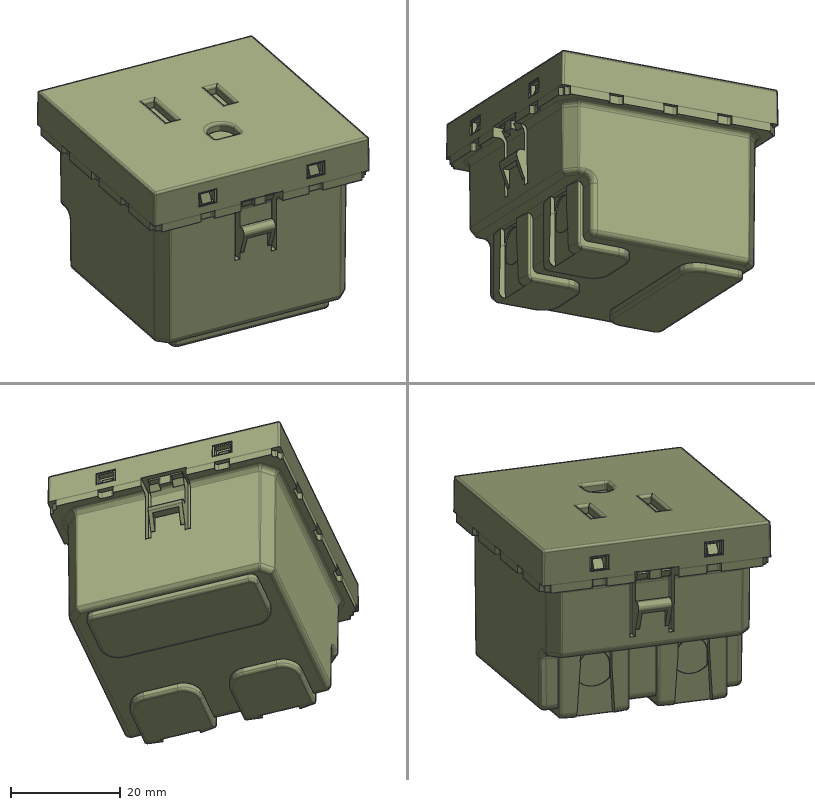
import cadquery as cq

COVER_WIDTH = 45.06
COVER_DRAFT = 0.7
COVER_DEPTH = 6.86
COVER_CORNER = 0.4
COVER_EDGE = 0.45

FLANGE_DEPTH = 8.44
NOTCH_PITCH = 11.27
NOTCH_WIDTH = 2.9
NOTCH_INSET = 0.8
NOTCH_RADIUS = 0.5
CORNER_NOTCH = 1.65
FLARE_RADIUS = 1.1

BODY_WIDTH = 40.3
BODY_DRAFT = 0.5
BODY_DEPTH = 34.1
BODY_CHAMFER = 2.3
BODY_CHAMFER_BLEND = 0.5
BODY_EDGE = 1.1
STEP_X = -15.0
STEP_DEPTH = 22.5
STEP_RADIUS = 1.4

TOTAL_DEPTH = 35.75
BLOCK_ROOT_DEPTH = STEP_DEPTH - BODY_EDGE
BLOCK_INNER_Y = 2.75
BLOCK_OUTER_Y = 16.5
BLOCK_FRONT_X = -16.45
BLOCK_FLANK_RELIEF = 0.55
BLOCK_END_X = -3.9
BLOCK_EDGE = 0.45
FOOT_END_RADIUS = 3.6
FOOT_START_X = 7.0
FOOT_END_X = 18.8
FOOT_OUTER_RADIUS = 1.4
FOOT_EDGE = 0.6
BLOCK_FRONT_EDGE = 1.1

GUIDE_TOP_HALF = 3.1
GUIDE_BOTTOM_HALF = 3.77
GUIDE_BEND_DEPTH = 25.8
GUIDE_FLOOR_TOP_X = -15.65
GUIDE_FLOOR_BOTTOM_X = -15.05
DIMPLE_TOP_DEPTH = 23.2
DIMPLE_SIDE_DEPTH = 28.9
DIMPLE_BOTTOM_DEPTH = 30.2
DIMPLE_FLOOR_X = -15.25

LATCH_HALF = 3.3
SLIT_WIDTH = 1.05
SLIT_CUT = 1.8
SLIT_TOP_DEPTH = 6.45
SLIT_BOTTOM_DEPTH = 19.85
BARB_CORNER_X = 22.25
BARB_TOP_DEPTH = 13.0
BARB_BOTTOM_DEPTH = 18.5
BARB_NOSE_RADIUS = 1.1
BARB_NOSE_DEPTH = 15.05
GUSSET_WIDTH = 0.8
HOLLOW_OVERCUT = 0.2
TOOTH_HALF = 1.2
RELIEF_INNER_X = 20.4
RELIEF_LIP_X = 21.2
RELIEF_LIP_DEPTH = 7.4
RELIEF_BOTTOM_X = 20.5
RELIEF_BOTTOM_DEPTH = 8.75

WINDOW_Y = 11.27
WINDOW_WIDTH = 3.76
WINDOW_HEIGHT = 2.8
WINDOW_CENTRE_DEPTH = 3.84
WINDOW_CUT = 1.3
WINDOW_LEDGE = 0.35
WINDOW_LEDGE_CUT = 0.3
HOOK_WIDTH = 2.0
HOOK_TOP_DEPTH = 3.3

BLADE_X = -5.0
BLADE_Y = 6.29
BLADE_WIDTH = 3.34
SHORT_BLADE_LENGTH = 8.3
LONG_BLADE_LENGTH = 9.85
EARTH_X = 6.85
EARTH_RADIUS = 3.2
EARTH_FLAT_X = 10.0
EARTH_CORNER = 0.4
OPENING_ROUNDING = 0.6
OPENING_CUT = 1.7

CLEARANCE = 1.0

HALF_COVER = COVER_WIDTH / 2
HALF_BODY = BODY_WIDTH / 2
BLOCK_CENTRE_Y = (BLOCK_INNER_Y + BLOCK_OUTER_Y) / 2


def box(x0, x1, y0, y1, depth0, depth1):
    """Axis-aligned block between two X, two Y and two depth values."""
    size = (x1 - x0, y1 - y0, depth1 - depth0)
    return cq.Workplane("XY").box(*size, centered=False).translate((x0, y0, -depth1))


def on_both_sides(shape):
    """The shape together with its copy on the opposite X side."""
    return shape.union(shape.mirror("YZ"))


def make_cover():
    """Drafted square cover with rounded corners and a rounded front edge."""
    cover = (
        cq.Workplane("XY", origin=(0, 0, -COVER_DEPTH))
        .rect(COVER_WIDTH, COVER_WIDTH)
        .extrude(COVER_DEPTH, taper=COVER_DRAFT)
    )
    cover = cover.edges("not(#Z or |X or |Y)").fillet(COVER_CORNER)
    return cover.faces(">Z").edges().fillet(COVER_EDGE)


def make_body():
    """Drafted housing with chamfered corners, stepped in at its -X lower end."""
    outline = (
        cq.Sketch()
        .rect(BODY_WIDTH, BODY_WIDTH)
        .vertices()
        .chamfer(BODY_CHAMFER)
        .reset()
        .vertices()
        .fillet(BODY_CHAMFER_BLEND)
    )
    body = (
        cq.Workplane("XY", origin=(0, 0, -FLANGE_DEPTH))
        .placeSketch(outline)
        .extrude(FLANGE_DEPTH - BODY_DEPTH, taper=BODY_DRAFT)
    )
    step = box(-BODY_WIDTH, STEP_X, -BODY_WIDTH, BODY_WIDTH, STEP_DEPTH, TOTAL_DEPTH)
    step = step.edges("|Y and >X and >Z").fillet(STEP_RADIUS)
    body = body.cut(step)
    below_step = cq.selectors.BoxSelector(
        (-BODY_WIDTH, -BODY_WIDTH, -BODY_DEPTH + BODY_EDGE),
        (BODY_WIDTH, BODY_WIDTH, -STEP_DEPTH + BODY_EDGE / 2),
    )
    body = body.edges(below_step).edges("not |Y").edges("<X or <Y or >Y").fillet(BODY_EDGE)
    return body.faces("<Z").edges().fillet(BODY_EDGE)


def make_flange():
    """Square ring with three notches per side and an L-shaped notch at each corner."""
    ring = box(-HALF_COVER, HALF_COVER, -HALF_COVER, HALF_COVER, COVER_DEPTH, FLANGE_DEPTH)
    notch = box(
        HALF_COVER - NOTCH_INSET, HALF_COVER + NOTCH_INSET,
        -NOTCH_WIDTH / 2, NOTCH_WIDTH / 2, COVER_DEPTH, FLANGE_DEPTH,
    ).edges("|Z and <X").fillet(NOTCH_RADIUS)
    corner_start = HALF_COVER - CORNER_NOTCH
    corner_leg = box(
        corner_start, HALF_COVER, HALF_COVER - NOTCH_INSET, HALF_COVER, COVER_DEPTH, FLANGE_DEPTH
    ).edges("|Z and <X and <Y").fillet(NOTCH_RADIUS)
    corner = corner_leg.union(corner_leg.mirror("XZ").rotate((0, 0, 0), (0, 0, 1), 90))
    for quarter in range(4):
        turn = 90 * quarter
        for offset in (-NOTCH_PITCH, 0, NOTCH_PITCH):
            placed = notch.translate((0, offset, 0)).rotate((0, 0, 0), (0, 0, 1), turn)
            ring = ring.cut(placed)
        ring = ring.cut(corner.rotate((0, 0, 0), (0, 0, 1), turn))
    return ring


def make_terminal_block():
    """Block with a prow-shaped front and a wire guide; its foot runs under the body."""
    flank_x = BLOCK_FRONT_X + BLOCK_FLANK_RELIEF
    prow = (
        cq.Workplane("XY", origin=(0, 0, -TOTAL_DEPTH))
        .moveTo(flank_x, BLOCK_INNER_Y)
        .lineTo(BLOCK_FRONT_X, BLOCK_CENTRE_Y - GUIDE_TOP_HALF)
        .lineTo(BLOCK_FRONT_X, BLOCK_CENTRE_Y + GUIDE_TOP_HALF)
        .lineTo(flank_x, BLOCK_OUTER_Y)
        .lineTo(BLOCK_END_X, BLOCK_OUTER_Y)
        .lineTo(BLOCK_END_X, BLOCK_INNER_Y)
        .close()
        .extrude(TOTAL_DEPTH - BLOCK_ROOT_DEPTH)
    )
    front_bottom = cq.selectors.BoxSelector(
        (BLOCK_FRONT_X - CLEARANCE, BLOCK_INNER_Y, -TOTAL_DEPTH - CLEARANCE),
        (flank_x + BLOCK_EDGE, BLOCK_OUTER_Y, -TOTAL_DEPTH + CLEARANCE),
    )
    prow = prow.edges(front_bottom).fillet(BLOCK_FRONT_EDGE)
    for side in ("<Y", ">Y"):
        prow = prow.faces(side).edges("<X").fillet(BLOCK_EDGE)

    foot = box(
        2 * BLOCK_FRONT_X, BLOCK_END_X, BLOCK_INNER_Y, BLOCK_OUTER_Y, BLOCK_ROOT_DEPTH, TOTAL_DEPTH
    )
    foot = foot.edges("|Z and >X").fillet(FOOT_END_RADIUS)
    foot = foot.faces("<Z").edges().fillet(FOOT_EDGE)
    block = prow.intersect(foot)

    guide = (
        cq.Workplane("YZ", origin=(BLOCK_FRONT_X - CLEARANCE, BLOCK_CENTRE_Y, 0))
        .moveTo(-GUIDE_TOP_HALF, -STEP_DEPTH)
        .lineTo(GUIDE_TOP_HALF, -STEP_DEPTH)
        .lineTo(GUIDE_TOP_HALF, -GUIDE_BEND_DEPTH)
        .lineTo(GUIDE_BOTTOM_HALF, -TOTAL_DEPTH)
        .lineTo(-GUIDE_BOTTOM_HALF, -TOTAL_DEPTH)
        .lineTo(-GUIDE_TOP_HALF, -GUIDE_BEND_DEPTH)
        .close()
        .extrude(GUIDE_FLOOR_BOTTOM_X - BLOCK_FRONT_X + CLEARANCE)
    )
    sloped_floor = (
        cq.Workplane("XZ", origin=(0, BLOCK_OUTER_Y, 0))
        .moveTo(GUIDE_FLOOR_TOP_X, -STEP_DEPTH)
        .lineTo(GUIDE_FLOOR_BOTTOM_X, -STEP_DEPTH)
        .lineTo(GUIDE_FLOOR_BOTTOM_X, -TOTAL_DEPTH)
        .close()
        .extrude(BLOCK_OUTER_Y - BLOCK_INNER_Y)
    )
    guide = guide.cut(sloped_floor)
    arch_depth = DIMPLE_TOP_DEPTH + GUIDE_TOP_HALF
    dimple = (
        cq.Workplane("YZ", origin=(GUIDE_FLOOR_TOP_X, BLOCK_CENTRE_Y, 0))
        .moveTo(-GUIDE_TOP_HALF, -arch_depth)
        .threePointArc((0, -DIMPLE_TOP_DEPTH), (GUIDE_TOP_HALF, -arch_depth))
        .lineTo(GUIDE_TOP_HALF, -DIMPLE_SIDE_DEPTH)
        .threePointArc((0, -DIMPLE_BOTTOM_DEPTH), (-GUIDE_TOP_HALF, -DIMPLE_SIDE_DEPTH))
        .close()
        .extrude(DIMPLE_FLOOR_X - GUIDE_FLOOR_TOP_X)
    )
    return block.cut(guide).cut(dimple)


def make_rear_foot():
    """Wide foot under the +X half of the housing."""
    foot = box(
        FOOT_START_X, FOOT_END_X, -BLOCK_OUTER_Y, BLOCK_OUTER_Y, BODY_DEPTH - BODY_EDGE, TOTAL_DEPTH
    )
    foot = foot.edges("|Z and <X").fillet(FOOT_END_RADIUS)
    foot = foot.edges("|Z and >X").fillet(FOOT_OUTER_RADIUS)
    return foot.faces("<Z").edges().fillet(FOOT_EDGE)


def join_with_flare(flange, body):
    """Join the housing to the flange with a concave blend around the housing's top."""
    reach = HALF_BODY + BODY_CHAMFER_BLEND
    margin = BODY_CHAMFER_BLEND
    top_outline = cq.selectors.BoxSelector(
        (-reach, -reach, -FLANGE_DEPTH - margin), (reach, reach, -FLANGE_DEPTH + margin)
    )
    joined = flange.union(body)
    return joined.edges(top_outline).edges("#Z").fillet(FLARE_RADIUS)


def make_barb():
    """Ramp on the +X latch tongue, hollow between two end gussets below its nose."""
    root_x = HALF_BODY - SLIT_CUT
    barb = (
        cq.Workplane("XZ", origin=(0, LATCH_HALF, 0))
        .moveTo(root_x, -BARB_TOP_DEPTH)
        .lineTo(BARB_CORNER_X, -BARB_TOP_DEPTH)
        .lineTo(HALF_BODY, -BARB_BOTTOM_DEPTH)
        .lineTo(root_x, -BARB_BOTTOM_DEPTH)
        .close()
        .extrude(2 * LATCH_HALF)
    )
    barb = barb.edges("|Y and >X").fillet(BARB_NOSE_RADIUS)
    gusset_inner = LATCH_HALF - GUSSET_WIDTH
    hollow = box(
        HALF_BODY - HOLLOW_OVERCUT, BARB_CORNER_X, -gusset_inner, gusset_inner,
        BARB_NOSE_DEPTH, BARB_BOTTOM_DEPTH,
    )
    return barb.cut(hollow)


def make_latch_cuts():
    """Slits beside the +X latch tongue and the flange relief above it."""
    outside_x = HALF_COVER + CLEARANCE
    cuts = cq.Workplane("XY")
    for y in (-LATCH_HALF - SLIT_WIDTH, LATCH_HALF):
        cuts = cuts.union(box(
            HALF_BODY - SLIT_CUT, outside_x, y, y + SLIT_WIDTH, SLIT_TOP_DEPTH, SLIT_BOTTOM_DEPTH
        ))
    cuts = cuts.union(box(
        HALF_COVER - NOTCH_INSET, outside_x, -LATCH_HALF, LATCH_HALF, SLIT_TOP_DEPTH, COVER_DEPTH
    ))
    relief_width = LATCH_HALF - TOOTH_HALF
    for y in (LATCH_HALF, -TOOTH_HALF):
        relief = (
            cq.Workplane("XZ", origin=(0, y, 0))
            .moveTo(outside_x, -COVER_DEPTH)
            .lineTo(RELIEF_INNER_X, -COVER_DEPTH)
            .lineTo(RELIEF_LIP_X, -RELIEF_LIP_DEPTH)
            .lineTo(RELIEF_BOTTOM_X, -RELIEF_BOTTOM_DEPTH)
            .lineTo(outside_x, -RELIEF_BOTTOM_DEPTH)
            .close()
            .extrude(relief_width)
        )
        cuts = cuts.union(relief)
    return cuts


def make_window(y):
    """Stepped pocket in the +X cover side, with a sloping snap hook left inside it."""
    top = WINDOW_CENTRE_DEPTH - WINDOW_HEIGHT / 2
    bottom = WINDOW_CENTRE_DEPTH + WINDOW_HEIGHT / 2
    half = WINDOW_WIDTH / 2
    floor_x = HALF_COVER - WINDOW_CUT
    hook_x = HALF_COVER - WINDOW_LEDGE_CUT
    mouth = box(hook_x, HALF_COVER, y - half, y + half, top, bottom)
    inner = half - WINDOW_LEDGE
    well = box(
        floor_x, HALF_COVER, y - inner, y + inner, top + WINDOW_LEDGE, bottom - WINDOW_LEDGE / 2
    )
    hook = (
        cq.Workplane("XZ", origin=(0, y + HOOK_WIDTH / 2, 0))
        .moveTo(floor_x, -HOOK_TOP_DEPTH)
        .lineTo(hook_x, -bottom)
        .lineTo(floor_x, -bottom)
        .close()
        .extrude(HOOK_WIDTH)
    )
    return mouth.union(well).cut(hook)


def make_contact_openings():
    """Two blade slots and the D-shaped earth opening, all of one depth."""
    base = cq.Workplane("XY", origin=(0, 0, -OPENING_CUT))
    inset = 2 * OPENING_ROUNDING
    slots = base
    for y, length in ((BLADE_Y, SHORT_BLADE_LENGTH), (-BLADE_Y, LONG_BLADE_LENGTH)):
        slot = base.center(BLADE_X, y).rect(length - inset, BLADE_WIDTH - inset).extrude(OPENING_CUT)
        slots = slots.union(slot)
    inner_radius = EARTH_RADIUS - OPENING_ROUNDING
    earth = (
        base.moveTo(EARTH_FLAT_X - OPENING_ROUNDING, inner_radius)
        .lineTo(EARTH_X, inner_radius)
        .threePointArc((EARTH_X - inner_radius, 0), (EARTH_X, -inner_radius))
        .lineTo(EARTH_FLAT_X - OPENING_ROUNDING, -inner_radius)
        .close()
        .extrude(OPENING_CUT)
    )
    earth = earth.edges("|Z and >X").fillet(EARTH_CORNER)
    return slots.union(earth)


def round_opening_mouths(cover):
    """Round the rims of all openings in the face."""
    rim_reach = HALF_COVER / 2
    rims = cq.selectors.BoxSelector(
        (-rim_reach, -rim_reach, -OPENING_ROUNDING / 2), (rim_reach, rim_reach, OPENING_ROUNDING / 2)
    )
    return cover.edges(rims).fillet(OPENING_ROUNDING)


def build_part():
    cover = round_opening_mouths(make_cover().cut(make_contact_openings()))
    part = join_with_flare(make_flange(), make_body()).union(cover)
    block = make_terminal_block()
    part = part.union(block).union(block.mirror("XZ")).union(make_rear_foot())
    part = part.cut(on_both_sides(make_latch_cuts()))
    part = part.union(on_both_sides(make_barb()))
    for window_y in (-WINDOW_Y, WINDOW_Y):
        part = part.cut(on_both_sides(make_window(window_y)))
    return part


result = build_part()